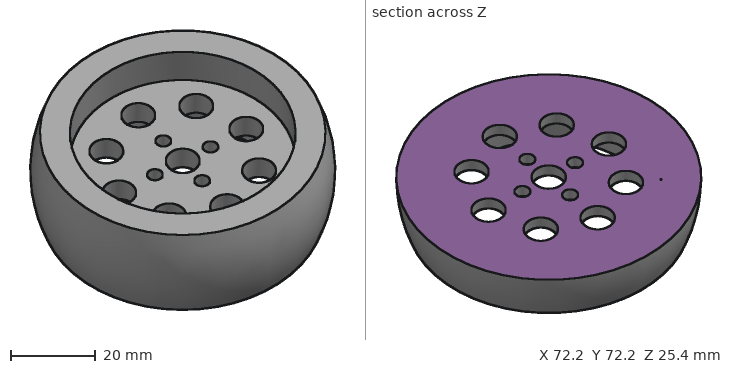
import cadquery as cq

outer_diameter = 72.2
face_diameter = 67.5
width = 25.4

recess_diameter = 53.35
recess_depth = 9.5

large_hole_diameter = 8.0
large_hole_count = 8
large_hole_circle_radius = 18.35
small_hole_diameter = 3.7
small_hole_count = 4
small_hole_circle_radius = 8.0

half_width = width / 2
web_thickness = width - 2 * recess_depth


def crowned_body():
    """Solid wheel with a convex tread, centred on the XY plane."""
    face_radius = face_diameter / 2
    return (
        cq.Workplane("XZ")
        .moveTo(0, -half_width)
        .lineTo(face_radius, -half_width)
        .threePointArc((outer_diameter / 2, 0), (face_radius, half_width))
        .lineTo(0, half_width)
        .close()
        .revolve(360, (0, 0, 0), (0, 1, 0))
    )


def recess(floor_z):
    """Cylinder that hollows one face, starting at floor_z."""
    return (
        cq.Workplane("XY")
        .workplane(offset=floor_z)
        .circle(recess_diameter / 2)
        .extrude(recess_depth)
    )


def hole_ring(circle_radius, count, diameter):
    """Evenly spaced hole cutters on a circle, the first one on +X."""
    return (
        cq.Workplane("XY")
        .polarArray(circle_radius, 0, 360, count)
        .circle(diameter / 2)
        .extrude(half_width, both=True)
    )


axle_hole = cq.Workplane("XY").circle(large_hole_diameter / 2).extrude(half_width, both=True)

result = (
    crowned_body()
    .cut(recess(web_thickness / 2))
    .cut(recess(-half_width))
    .cut(axle_hole)
    .cut(hole_ring(large_hole_circle_radius, large_hole_count, large_hole_diameter))
    .cut(hole_ring(small_hole_circle_radius, small_hole_count, small_hole_diameter))
)